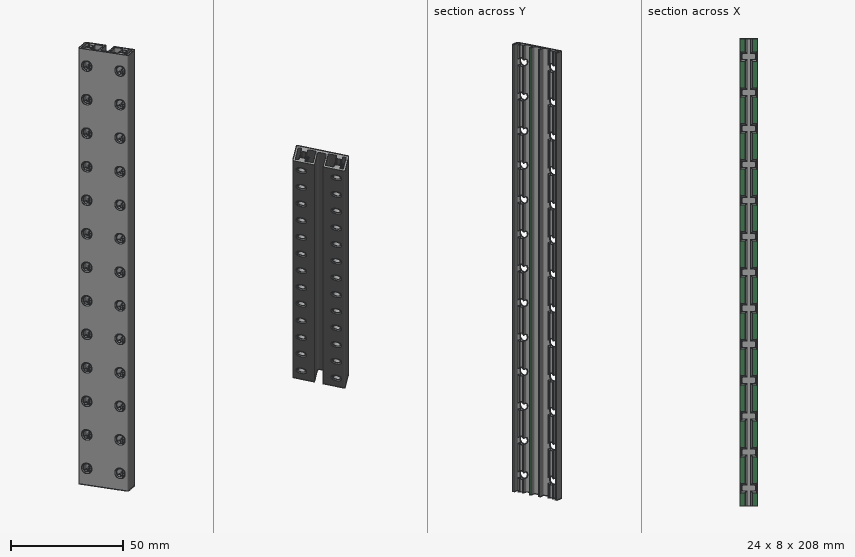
import cadquery as cq

LENGTH = 208.0
WIDTH = 24.0
DEPTH = 8.0
CORNER_RADIUS = 0.5

WALL = 1.0
WEB = 0.8
CHAMBER_FILLET = 0.5
CHANNEL_WIDTH = 4.0
CHANNEL_FLOOR = 1.2
CHANNEL_FILLET = 0.8

RIB_WIDTH = 3.0
RIB_HEIGHT = 2.0
GROOVE_WIDTH = 1.7
GROOVE_DEPTH = 0.6

HOLES_PER_ROW = 13
HOLE_PITCH = LENGTH / HOLES_PER_ROW
ROW_X = HOLE_PITCH / 2
END_MARGIN = HOLE_PITCH / 2
HOLE_RADIUS = 2.0
COUNTERSINK_RADIUS = 2.5
COUNTERSINK_DEPTH = COUNTERSINK_RADIUS - HOLE_RADIUS

FRONT_Y = -DEPTH / 2
BACK_Y = DEPTH / 2


def bar(x_min, x_max, y_min, y_max):
    """Full-length rectangular prism along Z."""
    return (
        cq.Workplane("XY")
        .box(x_max - x_min, y_max - y_min, LENGTH, centered=False)
        .translate((x_min, y_min, 0))
    )


def open_channel():
    """Slot open to the back, with rounded corners at its floor."""
    half_width = CHANNEL_WIDTH / 2
    channel = bar(-half_width, half_width, FRONT_Y + CHANNEL_FLOOR, BACK_Y)
    return channel.faces("<Y").edges("|Z").fillet(CHANNEL_FILLET)


def rib(side, face):
    """Rib on the front (face=-1) or back (face=1) wall of one chamber, grooved along its tip."""
    x = side * ROW_X
    root_y = face * (DEPTH / 2 - WALL)
    tip_y = root_y - face * RIB_HEIGHT
    groove_y = tip_y + face * GROOVE_DEPTH
    half_rib = RIB_WIDTH / 2
    half_groove = GROOVE_WIDTH / 2
    return (
        cq.Workplane("XY")
        .moveTo(x - half_rib, root_y)
        .lineTo(x - half_rib, tip_y)
        .lineTo(x - half_groove, tip_y)
        .lineTo(x - half_groove, groove_y)
        .lineTo(x + half_groove, groove_y)
        .lineTo(x + half_groove, tip_y)
        .lineTo(x + half_rib, tip_y)
        .lineTo(x + half_rib, root_y)
        .close()
        .extrude(LENGTH)
    )


def chamber(side):
    """Space around one row of holes, less its two ribs, rounded where walls and ribs meet."""
    inner_x = side * (CHANNEL_WIDTH / 2 + WEB)
    outer_x = side * (WIDTH / 2 - WALL)
    space = bar(min(inner_x, outer_x), max(inner_x, outer_x), FRONT_Y + WALL, BACK_Y - WALL)
    space = space.cut(rib(side, -1)).cut(rib(side, 1))
    return space.faces("<Y or >Y").edges("|Z").fillet(CHAMBER_FILLET)


def countersunk_hole():
    """Cutter along Y through the bar, countersunk at both faces, centred on the origin."""
    half_profile = [
        (0, FRONT_Y),
        (COUNTERSINK_RADIUS, FRONT_Y),
        (HOLE_RADIUS, FRONT_Y + COUNTERSINK_DEPTH),
        (HOLE_RADIUS, BACK_Y - COUNTERSINK_DEPTH),
        (COUNTERSINK_RADIUS, BACK_Y),
        (0, BACK_Y),
    ]
    return cq.Workplane("XY").polyline(half_profile).close().revolve(360, (0, 0), (0, 1))


body = bar(-WIDTH / 2, WIDTH / 2, FRONT_Y, BACK_Y).edges("|Z").fillet(CORNER_RADIUS)
result = body.cut(open_channel())
for side in (-1, 1):
    result = result.cut(chamber(side))

hole = countersunk_hole()
for side in (-1, 1):
    for row in range(HOLES_PER_ROW):
        hole_z = END_MARGIN + row * HOLE_PITCH
        result = result.cut(hole.translate((side * ROW_X, 0, hole_z)))